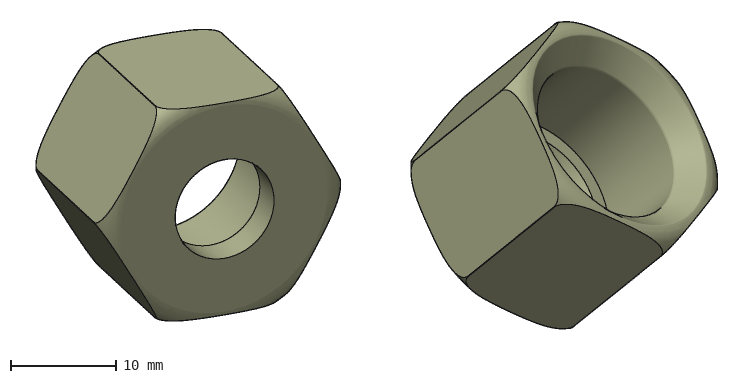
import cadquery as cq
import math

length = 17.5
width_across_flats = 22.02
turned_diameter = 25.4
end_rounding = 2.0

mouth_radius = 10.4
bore_radius = 16.38 / 2
bore_depth = 12.5
mouth_edge_rounding = 0.25
seat_radius = 6.7
hole_radius = 10.24 / 2

mouth_depth = mouth_radius - bore_radius
seat_end = bore_depth + seat_radius - hole_radius


def hexagon_prism():
    width_across_corners = width_across_flats / math.cos(math.pi / 6)
    return cq.Workplane("YZ").polygon(6, width_across_corners).extrude(length)


def turned_envelope():
    """Cylinder with both end edges rounded, which trims the hexagon."""
    cylinder = cq.Workplane("YZ").circle(turned_diameter / 2).extrude(length)
    return cylinder.edges("%CIRCLE").fillet(end_rounding)


def opening():
    """Conical mouth, bore, conical seat and through hole as one turned shape."""
    half_section = [
        (0, 0),
        (0, mouth_radius),
        (mouth_depth, bore_radius),
        (bore_depth, bore_radius),
        (bore_depth, seat_radius),
        (seat_end, hole_radius),
        (length, hole_radius),
        (length, 0),
    ]
    outline = cq.Workplane("XY").polyline(half_section).close()
    return outline.revolve(360, (0, 0, 0), (1, 0, 0))


nut = hexagon_prism().intersect(turned_envelope()).cut(opening())
mouth_cone = nut.faces("%CONE").faces("<X")
result = mouth_cone.edges("%CIRCLE").fillet(mouth_edge_rounding)